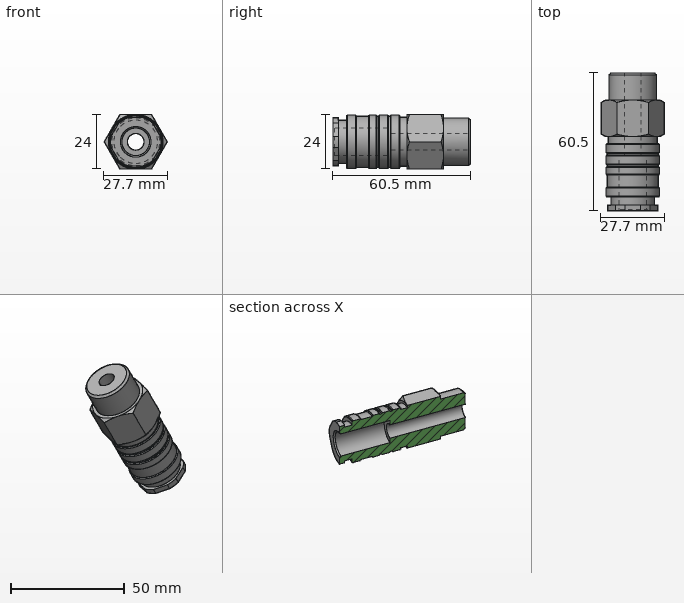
import cadquery as cq
import math

LENGTH = 60.5
COLLAR_END = 2.5
SLEEVE_START = 6.0
SLEEVE_END = 29.45
HEX_START = 32.55
HEX_END = 48.6

COLLAR_DIAMETER = 22.15
COLLAR_ACROSS_FLATS = 21.1
FRONT_NECK_DIAMETER = 19.1
SLEEVE_DIAMETER = 22.55
RING_DIAMETER = 23.55
REAR_NECK_DIAMETER = 21.65
HEX_ACROSS_FLATS = 24.0
SPIGOT_DIAMETER = 21.0

RINGS = [(SLEEVE_START, 10.4), (15.6, 19.4), (20.15, 24.5), (25.2, SLEEVE_END)]

RING_CHAMFER = 0.4
SPIGOT_CHAMFER = 0.95
HEX_CHAMFER_ANGLE = 30.0

SOCKET_DIAMETER = 12.1
SOCKET_DEPTH = 24.2
SOCKET_MOUTH_CHAMFER = 0.65
BORE_DIAMETER = 7.2


def section_plane(position):
    """XZ plane at a distance from the front end; its normal points to -Y."""
    return cq.Workplane("XZ", origin=(0, position - LENGTH / 2, 0))


def cylinder(diameter, start, end):
    return section_plane(start).circle(diameter / 2).extrude(start - end)


def hexagon(across_flats, start, end):
    """Hexagonal bar with two flats square to Z."""
    across_corners = across_flats / math.cos(math.radians(30))
    return section_plane(start).polygon(6, across_corners).extrude(start - end)


def make_collar():
    """Round collar with six narrow wrench flats."""
    disc = cylinder(COLLAR_DIAMETER, 0, COLLAR_END)
    return disc.intersect(hexagon(COLLAR_ACROSS_FLATS, 0, COLLAR_END))


def make_sleeve():
    """Gripping sleeve with chamfered rings."""
    sleeve = cylinder(SLEEVE_DIAMETER, SLEEVE_START, SLEEVE_END)
    for start, end in RINGS:
        ring = cylinder(RING_DIAMETER, start, end)
        sleeve = sleeve.union(ring.edges("%CIRCLE").chamfer(RING_CHAMFER))
    return sleeve


def make_hex_nut():
    """Hexagon whose corners are turned off by a cone at both ends."""
    flat_radius = HEX_ACROSS_FLATS / 2
    corner_radius = flat_radius / math.cos(math.radians(30))
    corner_depth = corner_radius - flat_radius
    corner_setback = corner_depth * math.tan(math.radians(HEX_CHAMFER_ANGLE))
    turned_blank = cylinder(2 * corner_radius, HEX_START, HEX_END)
    turned_blank = turned_blank.edges("%CIRCLE").chamfer(corner_setback, corner_depth)
    return hexagon(HEX_ACROSS_FLATS, HEX_START, HEX_END).intersect(turned_blank)


def make_spigot():
    spigot = cylinder(SPIGOT_DIAMETER, HEX_END, LENGTH)
    return spigot.faces(">Y").edges().chamfer(SPIGOT_CHAMFER)


def make_bore():
    """Through bore, front socket and the socket's conical mouth."""
    mouth_radius = SOCKET_DIAMETER / 2 + SOCKET_MOUTH_CHAMFER
    mouth = cq.Workplane(
        cq.Solid.makeCone(
            mouth_radius,
            SOCKET_DIAMETER / 2,
            SOCKET_MOUTH_CHAMFER,
            pnt=cq.Vector(0, -LENGTH / 2, 0),
            dir=cq.Vector(0, 1, 0),
        )
    )
    socket = cylinder(SOCKET_DIAMETER, 0, SOCKET_DEPTH)
    return cylinder(BORE_DIAMETER, 0, LENGTH).union(socket).union(mouth)


result = (
    make_collar()
    .union(cylinder(FRONT_NECK_DIAMETER, COLLAR_END, SLEEVE_START))
    .union(make_sleeve())
    .union(cylinder(REAR_NECK_DIAMETER, SLEEVE_END, HEX_START))
    .union(make_hex_nut())
    .union(make_spigot())
    .cut(make_bore())
)